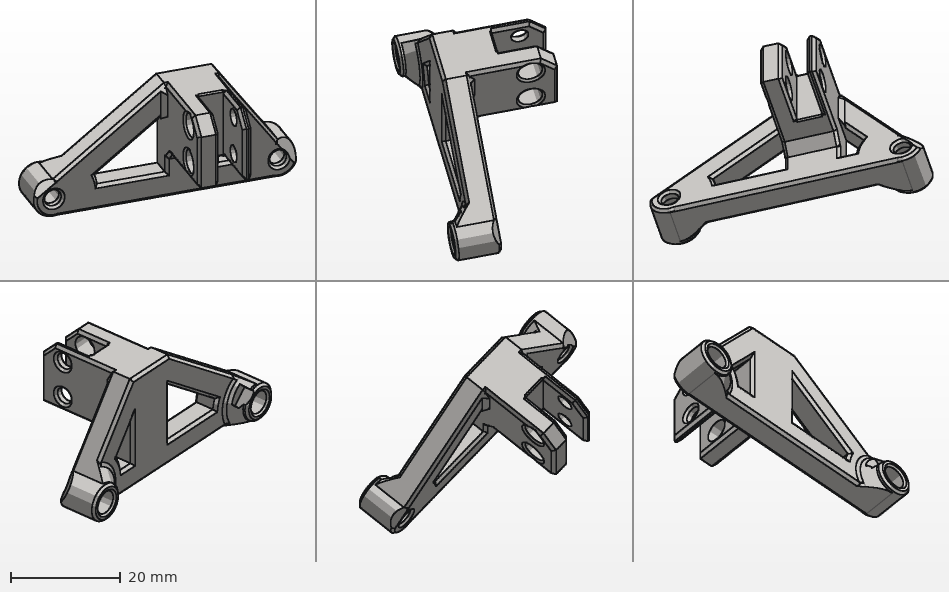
import cadquery as cq
import math


total_length = 51.35
total_depth = 25.0
total_height = 23.25
edge_chamfer = 0.6
bevel_angle = 45.0

boss_diameter = 7.5
boss_length = 8.5
boss_chamfer = 0.5
boss_radius = boss_diameter / 2
boss_spacing = total_length - boss_diameter

hole_diameter = 3.25
bore_diameter = 4.5
bore_chamfer = 0.4
exit_diameter = 4.25
boss_hole_web = 1.65

collar_start = 1.0
collar_bend_x = 3.1
collar_bend_radius = 5.9
collar_foot_radius = 6.65

plate_front = 3.45
plate_back = boss_length
plate_top_low_y = -0.25
plate_top_high_y = 10.45

beam_width = 5.15
window_floor = 5.0
window_end_radius = 8.75

lug_low_y = -0.1
lug_high_y = 10.3
lug_bottom = 9.8
lug_root_x = 5.15
lug_corner = 3.05
brace_size = 2.05
slot_start = 14.7
slot_low_y = 3.95
slot_high_y = 8.7
slot_floor_chamfer = 0.3
fillet_wedge = 1.0
lug_hole_x = 19.95
lug_hole_heights = (12.9, 20.35)

notch_depth = 2.45
notch_offset = 3.3
notch_reach = 4.1
notch_side_low = -2.75
notch_side_high = 1.2
notch_tilt = 45.0

low_boss_y = -boss_spacing / 2
high_boss_y = boss_spacing / 2


def yz_prism(points, start, end):
    """Closed outline of (y, z) points extruded from x = start to x = end."""
    return cq.Workplane("YZ", origin=(start, 0, 0)).polyline(points).close().extrude(end - start)


def x_cylinder(y, z, radius, start, end):
    return cq.Workplane("YZ", origin=(start, y, z)).circle(radius).extrude(end - start)


def slope(top_y, boss_y):
    """Fall per unit length of the sloping edge from a top corner to the crown of a boss."""
    return (total_height - boss_diameter) / abs(boss_y - top_y)


def sloped_outline(base_z):
    """Trapezoid between the two sloping edges, from base_z up to the top."""
    drop = total_height - base_z
    low_y = plate_top_low_y - drop / slope(plate_top_low_y, low_boss_y)
    high_y = plate_top_high_y + drop / slope(plate_top_high_y, high_boss_y)
    return [
        (low_y, base_z),
        (plate_top_low_y, total_height),
        (plate_top_high_y, total_height),
        (high_y, base_z),
    ]


plate_outline = [(low_boss_y, 0)] + sloped_outline(boss_diameter) + [(high_boss_y, 0)]


def window(wall_y, top_y, boss_y):
    """Triangular opening under a sloping beam, ended by an arc around the boss."""
    fall = slope(top_y, boss_y)
    beam_height = beam_width * math.hypot(1, fall)
    outward = math.copysign(1, boss_y)
    apex_z = total_height - fall * outward * (wall_y - top_y) - beam_height
    tip_y = wall_y + outward * (apex_z - window_floor) / fall
    triangle = [(wall_y, window_floor), (wall_y, apex_z), (tip_y, window_floor)]
    opening = yz_prism(triangle, 0, total_depth)
    return opening.cut(x_cylinder(boss_y, boss_radius, window_end_radius, 0, total_depth))


windows = window(lug_low_y, plate_top_low_y, low_boss_y).union(
    window(lug_high_y, plate_top_high_y, high_boss_y)
)


def make_plate():
    plate = yz_prism(plate_outline, plate_front, plate_back).cut(windows)
    return plate.faces("<X or >X").edges().chamfer(edge_chamfer)


def make_boss(y):
    boss = x_cylinder(y, boss_radius, boss_radius, 0, boss_length)
    return boss.faces("<X or >X").edges().chamfer(boss_chamfer)


def inset_prism(inset, start, end):
    """Plate outline moved inwards and extruded from x = start to x = end."""
    outline = cq.Workplane("YZ", origin=(start, 0, 0)).polyline(plate_outline).close()
    return outline.offset2D(-inset).extrude(end - start)


def back_bevel_envelope():
    """Space inside the back bevels, continued past the bosses and the wedges."""
    end = plate_back + fillet_wedge
    outline = cq.Workplane("YZ", origin=(end, 0, 0)).polyline(sloped_outline(-total_height)).close()
    return outline.offset2D(-edge_chamfer - fillet_wedge).extrude(-end, taper=-bevel_angle)


def revolve_about_x(profile):
    """Solid of revolution of (x, radius) points around the X axis."""
    return cq.Workplane("XY").polyline(profile).close().revolve(360, (0, 0, 0), (1, 0, 0))


def make_collar(y):
    """Cone around a boss, trimmed to the plate outline, with a wider foot on the plate face."""
    base_x = plate_front + edge_chamfer
    cone_profile = [
        (collar_start, 0),
        (collar_start, boss_radius),
        (collar_bend_x, collar_bend_radius),
        (base_x, collar_bend_radius + base_x - collar_bend_x),
        (base_x, 0),
    ]
    foot_profile = [
        (collar_bend_x, 0),
        (collar_bend_x, collar_bend_radius),
        (plate_front, collar_foot_radius),
        (base_x, collar_foot_radius),
        (base_x, 0),
    ]
    centre = (0, y, boss_radius)
    cone = revolve_about_x(cone_profile).translate(centre).intersect(yz_prism(plate_outline, 0, plate_back))
    foot = revolve_about_x(foot_profile).translate(centre).intersect(inset_prism(edge_chamfer, 0, plate_back))
    return cone.union(foot)


def make_lug():
    brace_end = plate_back + brace_size
    profile = [
        (lug_root_x, total_height),
        (total_depth - lug_corner, total_height),
        (total_depth, total_height - lug_corner),
        (total_depth, lug_bottom),
        (brace_end, lug_bottom),
        (plate_back, lug_bottom - brace_size),
        (lug_root_x, lug_bottom - brace_size),
    ]
    lug = cq.Workplane("XZ", origin=(0, lug_low_y, 0)).polyline(profile).close()
    lug = lug.extrude(lug_low_y - lug_high_y)
    lug = lug.faces("<Y or >Y").edges().chamfer(edge_chamfer)
    return cut_fork(lug)


def cut_fork(lug):
    """Open the slot between the cheeks and bevel the edges around it."""
    slot_length = total_depth - slot_start
    slot_width = slot_high_y - slot_low_y
    slot = cq.Workplane("XY").box(slot_length, slot_width, total_height, centered=False)
    lug = lug.cut(slot.translate((slot_start, slot_low_y, 0)))
    margin = 0.05
    for cheek_y in (slot_low_y, slot_high_y):
        cheek_edges = cq.selectors.BoxSelector(
            (slot_start + margin, cheek_y - margin, 0),
            (total_depth + margin, cheek_y + margin, total_height + margin),
        )
        lug = lug.edges(cheek_edges).chamfer(edge_chamfer)
    for edge_z, inward in ((total_height, -1), (lug_bottom, 1)):
        bevel = [
            (slot_start, edge_z),
            (slot_start - slot_floor_chamfer, edge_z),
            (slot_start, edge_z + inward * slot_floor_chamfer),
        ]
        wedge = cq.Workplane("XZ", origin=(0, slot_low_y, 0)).polyline(bevel).close()
        lug = lug.cut(wedge.extrude(-slot_width))
    return lug


def make_fillet_wedges():
    """Sloping fillets between the lug sides and the upper beams of the plate."""
    base_z = lug_bottom + edge_chamfer
    profile = [
        (plate_back - edge_chamfer, lug_low_y - fillet_wedge),
        (plate_back, lug_low_y - fillet_wedge),
        (plate_back + fillet_wedge, lug_low_y),
        (plate_back + fillet_wedge, lug_high_y),
        (plate_back, lug_high_y + fillet_wedge),
        (plate_back - edge_chamfer, lug_high_y + fillet_wedge),
    ]
    wedges = cq.Workplane("XY", origin=(0, 0, base_z)).polyline(profile).close()
    wedges = wedges.extrude(total_height - base_z)
    return wedges.intersect(back_bevel_envelope()).cut(windows)


def screw_hole(bore_depth, length):
    """Stepped hole along +X from the origin, chamfered at its mouth and at its exit."""
    bore_radius = bore_diameter / 2
    hole_radius = hole_diameter / 2
    exit_radius = exit_diameter / 2
    profile = [
        (0, 0),
        (0, bore_radius + bore_chamfer),
        (bore_chamfer, bore_radius),
        (bore_depth, bore_radius),
        (bore_depth, hole_radius),
        (length - (exit_radius - hole_radius), hole_radius),
        (length, exit_radius),
        (length, 0),
    ]
    return revolve_about_x(profile)


def boss_hole(y):
    return screw_hole(boss_length - boss_hole_web, boss_length).translate((0, y, boss_radius))


def lug_hole(z):
    """Wide bore through the thick cheek and a narrow hole through the thin cheek."""
    hole = screw_hole(slot_low_y - lug_low_y, lug_high_y - lug_low_y)
    return hole.rotate((0, 0, 0), (0, 0, 1), 90).translate((lug_hole_x, lug_low_y, z))


def make_notch():
    """Tilted box that trims the collar and the rim of the low-Y boss."""
    width = notch_side_high - notch_side_low
    box = cq.Workplane("XY").box(notch_depth, notch_reach, width, centered=False)
    box = box.translate((0, notch_offset, notch_side_low))
    box = box.rotate((0, 0, 0), (1, 0, 0), notch_tilt)
    return box.translate((0, low_boss_y, boss_radius))


bosses = make_boss(low_boss_y).union(make_boss(high_boss_y)).intersect(back_bevel_envelope())
result = make_plate().union(bosses)
for boss_y in (low_boss_y, high_boss_y):
    result = result.union(make_collar(boss_y))
result = result.union(make_lug()).union(make_fillet_wedges())
result = result.cut(make_notch())
for boss_y in (low_boss_y, high_boss_y):
    result = result.cut(boss_hole(boss_y))
for hole_z in lug_hole_heights:
    result = result.cut(lug_hole(hole_z))